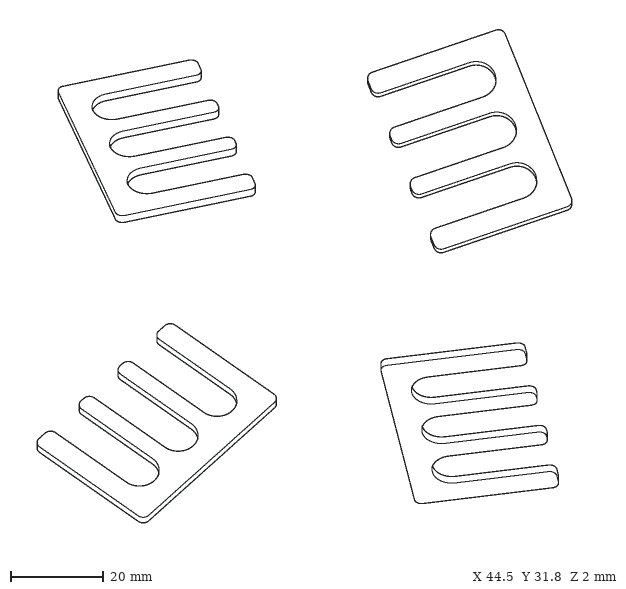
import cadquery as cq

length = 44.45
width = 31.75
thickness = 2.0
corner_radius = 1.6

slot_count = 3
slot_width = 8.6
slot_pitch = 12.7
spine_width = 5.4

slot_radius = slot_width / 2
slot_center_y = -width / 2 + spine_width + slot_radius
slot_straight = width / 2 - slot_center_y


def slot_cutter(center_x):
    """U-shaped cutter with a full-round bottom, running out at the +Y edge."""
    return (
        cq.Workplane("XY")
        .center(center_x, slot_center_y)
        .moveTo(slot_radius, 0)
        .lineTo(slot_radius, slot_straight)
        .lineTo(-slot_radius, slot_straight)
        .lineTo(-slot_radius, 0)
        .threePointArc((0, -slot_radius), (slot_radius, 0))
        .close()
        .extrude(thickness)
    )


comb = cq.Workplane("XY").box(length, width, thickness, centered=(True, True, False))
for index in range(slot_count):
    comb = comb.cut(slot_cutter((index - (slot_count - 1) / 2) * slot_pitch))

comb = comb.edges("|Z and >Y").fillet(corner_radius)
result = comb.edges("|Z and <Y").fillet(corner_radius)